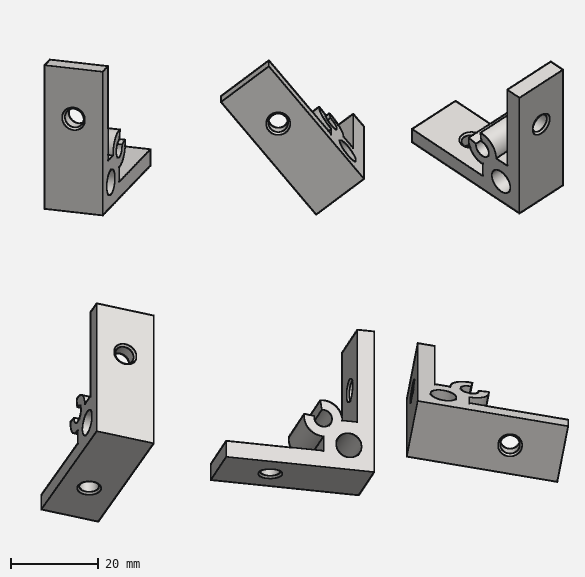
import cadquery as cq
import math

width = 14.0
leg_length = 35.0
leg_thickness = 4.0
corner_block = 12.0

rod_hole_diameter = 6.0
rod_hole_offset = corner_block / 2

clip_offset = 12.085
clip_outer_radius = 4.5
clip_inner_radius = 2.1
clip_mouth_width = 2.5
diagonal_angle = math.radians(45)

screw_hole_diameter = 4.5
screw_hole_offset = 22.75
screw_hole_chamfer = 0.5


def make_bracket():
    """L-shaped bracket with a square block filling the inner corner."""
    profile = [
        (0, 0),
        (leg_length, 0),
        (leg_length, leg_thickness),
        (corner_block, leg_thickness),
        (corner_block, corner_block),
        (leg_thickness, corner_block),
        (leg_thickness, leg_length),
        (0, leg_length),
    ]
    return cq.Workplane("YZ").polyline(profile).close().extrude(width)


def cylinder_along_x(y, z, radius):
    """Full-width cylinder centred at (y, z)."""
    return cq.Workplane("YZ").center(y, z).circle(radius).extrude(width)


def make_clip_opening():
    """Wedge with radial sides that opens the clip along the diagonal, away from the corner."""
    half_angle = math.asin(clip_mouth_width / 2 / clip_inner_radius)
    reach = 2 * clip_outer_radius
    sides = [
        (reach * math.cos(angle), reach * math.sin(angle))
        for angle in (diagonal_angle - half_angle, diagonal_angle + half_angle)
    ]
    return (
        cq.Workplane("YZ")
        .center(clip_offset, clip_offset)
        .polyline([(0, 0)] + sides)
        .close()
        .extrude(width)
    )


def make_screw_hole(start, direction):
    """Hole through one leg, chamfered at both mouths."""
    radius = screw_hole_diameter / 2
    mouth_radius = radius + screw_hole_chamfer
    inner_face = start + direction * leg_thickness
    bore = cq.Solid.makeCylinder(radius, leg_thickness, start, direction)
    outer_mouth = cq.Solid.makeCone(mouth_radius, radius, screw_hole_chamfer, start, direction)
    inner_mouth = cq.Solid.makeCone(mouth_radius, radius, screw_hole_chamfer, inner_face, -direction)
    return bore.fuse(outer_mouth, inner_mouth)


bracket = make_bracket()

bracket = bracket.union(cylinder_along_x(clip_offset, clip_offset, clip_outer_radius))
bracket = bracket.cut(cylinder_along_x(clip_offset, clip_offset, clip_inner_radius))
bracket = bracket.cut(make_clip_opening())

bracket = bracket.cut(cylinder_along_x(rod_hole_offset, rod_hole_offset, rod_hole_diameter / 2))

upright_hole = make_screw_hole(cq.Vector(width / 2, 0, screw_hole_offset), cq.Vector(0, 1, 0))
base_hole = make_screw_hole(cq.Vector(width / 2, screw_hole_offset, 0), cq.Vector(0, 0, 1))
bracket = bracket.cut(upright_hole).cut(base_hole)

result = bracket